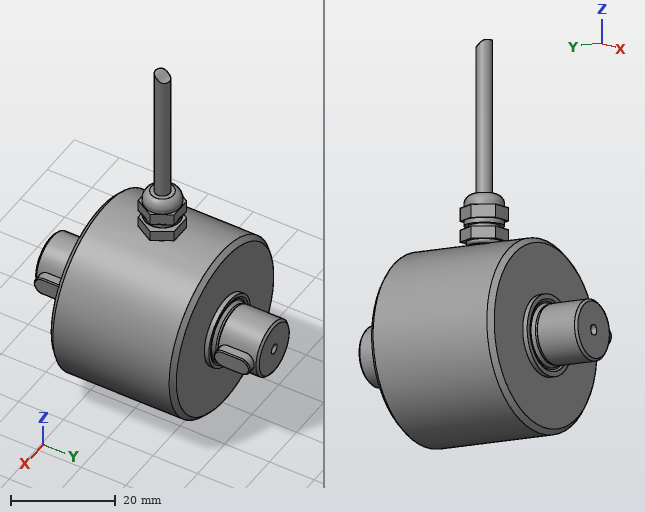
import cadquery as cq
import math


housing_diameter = 38.0
housing_length = 28.0
housing_chamfer = 1.0
boss_height = 1.0
front_boss_diameter = 16.0
back_boss_diameter = 15.4
bore_diameter = 13.2
bore_mouth_diameter = 14.05
bore_countersink_depth = 0.2

shaft_length = 50.0
journal_diameter = 12.0
groove_diameter = 11.6
groove_shoulder_diameter = 12.6
groove_inner_offset = 0.5
groove_floor_width = 0.4
shaft_end_chamfer = 0.5
center_drill_diameter = 1.0
center_drill_depth = 2.0
drill_point_angle = math.radians(120)
countersink_diameter = 2.1
countersink_depth = 0.9

key_length = 8.0
key_width = 4.0
key_height = 4.0
key_top = 7.7
key_edge_chamfer = 0.2
key_end_inset = 0.85

hex_across_flats = 8.0
foot_diameter = 6.0
foot_depth = 1.0
collar_diameter = 7.0
collar_height = 0.8
lower_hex_height = 2.35
neck_height = 0.8
cap_diameter = 7.8
cap_skirt_height = 0.9
cap_hex_height = 2.6
cap_rim_height = 0.9
cap_dome_height = 1.6
cap_dome_bulge = 0.3
cap_top_diameter = 4.9

cable_diameter = 3.2
overall_height = 78.0
cable_end_rise = 1.3

housing_radius = housing_diameter / 2
housing_half = housing_length / 2
boss_face = housing_half + boss_height
bore_radius = bore_diameter / 2
shaft_half = shaft_length / 2
journal_radius = journal_diameter / 2
groove_radius = groove_diameter / 2

gland_seat = housing_radius - foot_depth
lower_hex_base = housing_radius + collar_height
neck_base = lower_hex_base + lower_hex_height
cap_base = neck_base + neck_height
cap_hex_base = cap_base + cap_skirt_height
cap_rim_base = cap_hex_base + cap_hex_height
cap_dome_base = cap_rim_base + cap_rim_height
cable_top = overall_height - housing_radius


def cylinder_z(diameter, base, height):
    return cq.Workplane("XY").workplane(offset=base).circle(diameter / 2).extrude(height)


def hexagon_z(base, height):
    """Hexagonal prism with two of its corners on the X axis."""
    across_corners = hex_across_flats / math.cos(math.pi / 6)
    return cq.Workplane("XY").workplane(offset=base).polygon(6, across_corners).extrude(height)


def revolve_about_y(outline):
    return outline.close().revolve(360, (0, 0, 0), (0, 1, 0))


def revolve_about_z(outline):
    return outline.close().revolve(360, (0, 0, 0), (0, 1, 0))


def make_key_blank():
    """Key with round ends on the back half of the shaft, standing along +X."""
    key_center = shaft_half - key_end_inset - key_length / 2
    return (
        cq.Workplane("YZ")
        .workplane(offset=key_top - key_height)
        .center(key_center, 0)
        .slot2D(key_length, key_width)
        .extrude(key_height)
    )


def on_side(body, side):
    """The body as it stands at the back (side = 1), or mirrored to the front (side = -1)."""
    return body if side > 0 else body.mirror("XZ")


def make_key(side):
    return on_side(make_key_blank().faces(">X").chamfer(key_edge_chamfer), side)


def make_center_hole():
    """Countersunk center drilling in the back end of the shaft."""
    drill_radius = center_drill_diameter / 2
    outline = (
        cq.Workplane("XY")
        .moveTo(0, shaft_half)
        .lineTo(countersink_diameter / 2, shaft_half)
        .lineTo(drill_radius, shaft_half - countersink_depth)
        .lineTo(drill_radius, shaft_half - center_drill_depth)
        .lineTo(0, shaft_half - center_drill_depth - drill_radius / math.tan(drill_point_angle / 2))
    )
    return revolve_about_y(outline)


def make_housing():
    bore_mouth = bore_mouth_diameter / 2
    outline = (
        cq.Workplane("XY")
        .moveTo(bore_radius, bore_countersink_depth - boss_face)
        .lineTo(bore_mouth, -boss_face)
        .lineTo(front_boss_diameter / 2, -boss_face)
        .lineTo(front_boss_diameter / 2, -housing_half)
        .lineTo(housing_radius - housing_chamfer, -housing_half)
        .lineTo(housing_radius, housing_chamfer - housing_half)
        .lineTo(housing_radius, housing_half - housing_chamfer)
        .lineTo(housing_radius - housing_chamfer, housing_half)
        .lineTo(back_boss_diameter / 2, housing_half)
        .lineTo(back_boss_diameter / 2, boss_face)
        .lineTo(bore_mouth, boss_face)
        .lineTo(bore_radius, boss_face - bore_countersink_depth)
    )
    gland_recess = cylinder_z(foot_diameter, gland_seat, housing_radius)
    return revolve_about_y(outline).cut(gland_recess)


def make_shaft():
    groove_inner = boss_face + groove_inner_offset
    groove_outer = groove_inner + groove_floor_width
    shoulder = boss_face - bore_countersink_depth
    journal_start = groove_outer + (journal_radius - groove_radius)
    half_outline = (
        cq.Workplane("XY")
        .lineTo(bore_radius, 0)
        .lineTo(bore_radius, shoulder)
        .lineTo(groove_shoulder_diameter / 2, shoulder)
        .lineTo(groove_radius, groove_inner)
        .lineTo(groove_radius, groove_outer)
        .lineTo(journal_radius, journal_start)
        .lineTo(journal_radius, shaft_half - shaft_end_chamfer)
        .lineTo(journal_radius - shaft_end_chamfer, shaft_half)
        .lineTo(0, shaft_half)
    )
    half = revolve_about_y(half_outline).cut(make_center_hole()).cut(make_key_blank())
    return half.union(half.mirror("XZ"))


def make_gland_body(cable):
    """Foot, ring-shaped collar, hexagon and neck; the hexagon cuts off the top of the collar's round."""
    ring_radius = foot_diameter / 2
    ring_round = collar_diameter / 2 - ring_radius
    ring_middle = housing_radius + ring_round
    collar_top_radius = ring_radius + math.sqrt(ring_round**2 - (lower_hex_base - ring_middle) ** 2)
    foot = cylinder_z(foot_diameter, gland_seat, foot_depth)
    collar_outline = (
        cq.Workplane("XZ")
        .moveTo(0, housing_radius)
        .lineTo(ring_radius, housing_radius)
        .threePointArc((ring_radius + ring_round, ring_middle), (collar_top_radius, lower_hex_base))
        .lineTo(0, lower_hex_base)
    )
    collar = revolve_about_z(collar_outline)
    neck = cylinder_z(foot_diameter, neck_base, neck_height)
    body = foot.union(collar).union(hexagon_z(lower_hex_base, lower_hex_height)).union(neck)
    return body.cut(cable)


def make_gland_cap(cable):
    skirt = cylinder_z(cap_diameter, cap_base, cap_skirt_height)
    cap_top = cap_dome_base + cap_dome_height
    dome_outline = (
        cq.Workplane("XZ")
        .moveTo(0, cap_rim_base)
        .lineTo(cap_diameter / 2, cap_rim_base)
        .lineTo(cap_diameter / 2, cap_dome_base)
        .sagittaArc((cap_top_diameter / 2, cap_top), -cap_dome_bulge)
        .lineTo(0, cap_top)
    )
    cap = skirt.union(hexagon_z(cap_hex_base, cap_hex_height)).union(revolve_about_z(dome_outline))
    return cap.cut(cable)


def make_cable():
    """Cable from the gland foot up to a free end cut along a smooth S, level at both edges."""
    radius = cable_diameter / 2
    low_edge = cable_top - cable_end_rise
    middle = cable_top - cable_end_rise / 2
    end_cut = (
        cq.Workplane("YZ")
        .workplane(offset=-cable_diameter)
        .moveTo(cable_diameter, low_edge)
        .lineTo(radius, low_edge)
        .spline([(0, middle), (-radius, cable_top)], tangents=[(-1, 0), (-1, 0)], includeCurrent=True)
        .lineTo(cable_diameter, cable_top)
        .close()
        .extrude(2 * cable_diameter)
    )
    return cylinder_z(cable_diameter, gland_seat, cable_top - gland_seat).cut(end_cut)


housing = make_housing()
shaft = make_shaft()
keys = [make_key(side) for side in (-1, 1)]
cable = make_cable()
gland_body = make_gland_body(cable)
gland_cap = make_gland_cap(cable)

result = cq.Compound.makeCompound(
    [
        housing.val(),
        shaft.val(),
        *[key.val() for key in keys],
        gland_body.val(),
        gland_cap.val(),
        cable.val(),
    ]
)